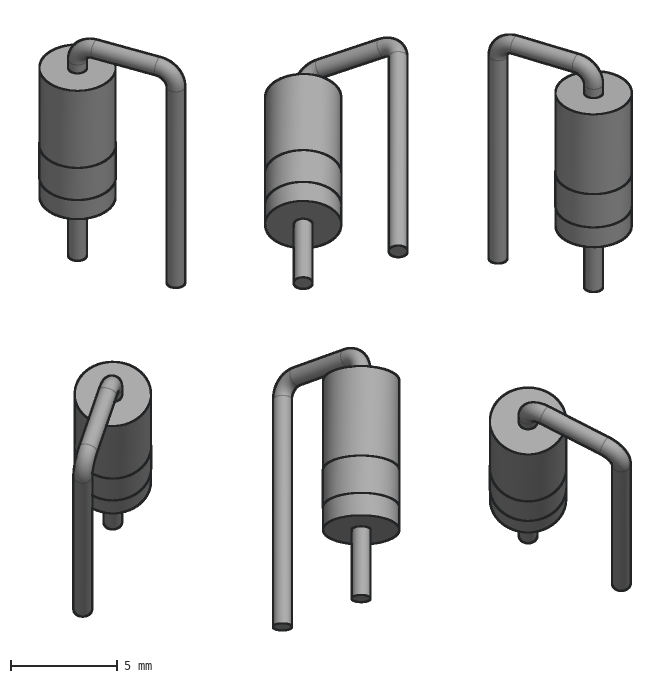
import cadquery as cq


body_diameter = 3.6
body_length = 7.6

band_diameter = 3.62
band_length = 1.9
band_bottom = 1.14

wire_diameter = 0.9
lead_pitch = 5.08
lead_below_body = 3.5
lead_above_body = 0.5
bend_radius = wire_diameter

lead_bottom = -lead_below_body
bend_start = body_length + lead_above_body
lead_top = bend_start + bend_radius


def make_body():
    """Cylindrical body with its raised polarity band."""
    body = cq.Workplane("XY").circle(body_diameter / 2).extrude(body_length)
    band = (
        cq.Workplane("XY")
        .workplane(offset=band_bottom)
        .circle(band_diameter / 2)
        .extrude(band_length)
    )
    return body.union(band)


def make_lead():
    """Round wire running up through the body, across, and back down."""
    path = (
        cq.Workplane("XZ")
        .moveTo(0, lead_bottom)
        .lineTo(0, bend_start)
        .tangentArcPoint((bend_radius, lead_top), relative=False)
        .lineTo(lead_pitch - bend_radius, lead_top)
        .tangentArcPoint((lead_pitch, bend_start), relative=False)
        .lineTo(lead_pitch, lead_bottom)
    )
    return (
        cq.Workplane("XY")
        .workplane(offset=lead_bottom)
        .circle(wire_diameter / 2)
        .sweep(path)
    )


result = make_body().union(make_lead())